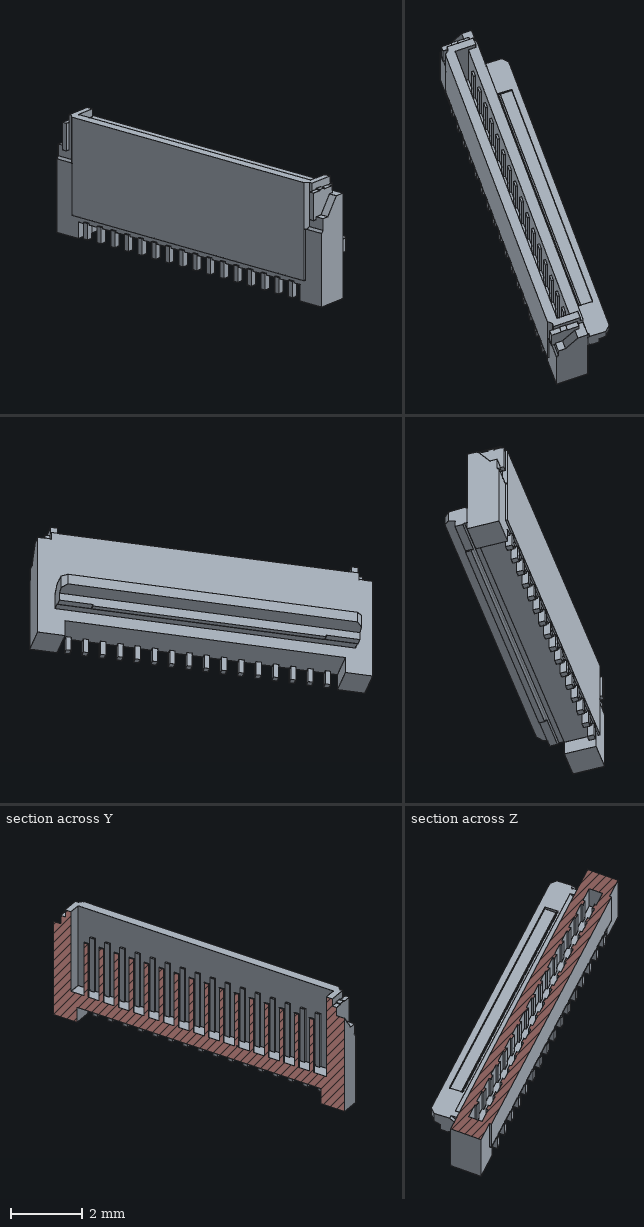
import cadquery as cq

LENGTH = 9.7
HEIGHT = 3.6
DEPTH = 1.87
HALF = LENGTH / 2

BODY_FRONT = 0.06
BODY_BACK = 1.0
SHELL_HALF = HALF - 0.4
PANEL_HALF = HALF - 0.6
PANEL_BOTTOM = 0.67
SHOULDER_FRONT = 0.12
SHELL_CORNER = 0.11
SHELL_BACK = 0.91
BACK_WALL_TOP = 3.37

LEDGE_LOW = 2.2
LEDGE_HIGH = 2.28
ARM_STEP = 2.63
ARM_TOP = 3.15
ARM_SLOPE_FRONT = 0.33
ARM_SLOPE_BACK = 0.7

FOOT_WIDTH = 0.8
UNDERSIDE = 0.49

SLOT_FRONT = 0.29
SLOT_BACK = 0.69
SLOT_FLOOR = 0.97
CONTACT_THICKNESS = 0.06
CONTACT_TOP = 2.72

PIN_COUNT = 16
PIN_PITCH = 0.5
PIN_WIDTH = 0.16
PIN_DEPTH = 0.19
PIN_BOTTOM = 0.06
PIN_TOP = 0.55

TAB_THICKNESS = 0.15
TAB_BACK = 0.82
TAB_BOTTOM = 2.54
TAB_TOP = BACK_WALL_TOP
TAB_BUMP_FRONT = 0.29
TAB_BUMP_BACK = 0.48
TAB_BUMP_HEIGHT = 0.03

LEVER_HALF = HALF - 0.5
LEVER_ROOT_TOP = 1.55
LEVER_TIP_TOP = 1.48
LEVER_TIP_BOTTOM = 1.16
LEVER_HEEL_BACK = 1.52
LEVER_HEEL_TOP = 1.05
LEVER_HEEL_BOTTOM = 0.81
LEVER_HEEL_FRONT = 1.29
LEVER_ROOT_BOTTOM = 0.85
LEVER_ROOT_BOTTOM_BACK = 1.24
LEVER_CORNER = 0.16
BEVEL_SLOPE = 0.8
END_BEVEL_WIDTH = 0.1
END_BEVEL_BACK = 1.26
MIDDLE_BEVEL_HALF = HALF - FOOT_WIDTH
MIDDLE_BEVEL_BACK = 1.21
LIP_BOTTOM = 0.77
LIP_FRONT = 1.36
RECESS_HALF = HALF - 1.47
LIP_HALF = RECESS_HALF
RECESS_FRONT = 1.26
RECESS_STEP = 1.32
RECESS_BACK = 1.67
RECESS_FLOOR = 1.42
RECESS_STEP_FLOOR = 1.455

OVERLAP = 0.05


def block(x0, x1, y0, y1, z0, z1):
    """Box given by its limits along each axis."""
    return cq.Workplane("XY").box(x1 - x0, y1 - y0, z1 - z0, centered=False).translate((x0, y0, z0))


def across(half_width, y0, y1, z0, z1):
    """Box centred along the length."""
    return block(-half_width, half_width, y0, y1, z0, z1)


def side_profile(points, x0, x1):
    """Extrude a (y, z) outline from x0 to x1."""
    return cq.Workplane("YZ").polyline(points).close().extrude(x1 - x0).translate((x0, 0, 0))


def both_ends(piece):
    """Piece together with its mirror image at the other end."""
    return piece.union(piece.mirror("YZ"))


def pin_centres():
    first = -PIN_PITCH * (PIN_COUNT - 1) / 2
    return [first + i * PIN_PITCH for i in range(PIN_COUNT)]


def make_arms():
    outline = [
        (BODY_BACK, 0),
        (BODY_FRONT, 0),
        (BODY_FRONT, LEDGE_LOW),
        (SHOULDER_FRONT, LEDGE_HIGH),
        (SHOULDER_FRONT, ARM_STEP),
        (ARM_SLOPE_FRONT, ARM_STEP),
        (ARM_SLOPE_BACK, ARM_TOP),
        (BODY_BACK, ARM_TOP),
    ]
    return side_profile(outline, -HALF, HALF)


def make_shell():
    bevel_end = PANEL_HALF + SHELL_CORNER
    plan = [
        (-SHELL_HALF, SHELL_BACK),
        (-SHELL_HALF, SHOULDER_FRONT),
        (-bevel_end, SHOULDER_FRONT),
        (-PANEL_HALF, 0),
        (PANEL_HALF, 0),
        (bevel_end, SHOULDER_FRONT),
        (SHELL_HALF, SHOULDER_FRONT),
        (SHELL_HALF, SHELL_BACK),
    ]
    upper = cq.Workplane("XY").workplane(offset=LEDGE_LOW).polyline(plan).close().extrude(HEIGHT - LEDGE_LOW)
    panel = across(PANEL_HALF, 0, SHELL_BACK, PANEL_BOTTOM, HEIGHT)
    back_wall = across(SHELL_HALF, SLOT_BACK, BODY_BACK, UNDERSIDE, BACK_WALL_TOP)
    return upper.union(panel).union(back_wall)


def make_housing():
    housing = make_arms().union(make_shell())
    foot_gap = across(HALF - FOOT_WIDTH, 0, BODY_BACK, 0, UNDERSIDE)
    slot = across(PANEL_HALF, SLOT_FRONT, SLOT_BACK, SLOT_FLOOR, HEIGHT)
    back_wall_relief = across(PANEL_HALF, SLOT_BACK - OVERLAP, BODY_BACK, BACK_WALL_TOP, HEIGHT)
    return housing.cut(foot_gap).cut(slot).cut(back_wall_relief)


def make_terminal(x):
    """One solder pin and the two contact strips standing in the slot."""
    x0 = x - PIN_WIDTH / 2
    x1 = x + PIN_WIDTH / 2
    pin = block(x0, x1, 0, PIN_DEPTH, PIN_BOTTOM, PIN_TOP)
    front = block(x0, x1, SLOT_FRONT - OVERLAP, SLOT_FRONT + CONTACT_THICKNESS, SLOT_FLOOR, CONTACT_TOP)
    back = block(x0, x1, SLOT_BACK - CONTACT_THICKNESS, SLOT_BACK + OVERLAP, SLOT_FLOOR, CONTACT_TOP)
    return pin.union(front).union(back)


def make_tab():
    outer = -SHELL_HALF - TAB_THICKNESS
    inner = -SHELL_HALF + OVERLAP
    plate = block(outer, -SHELL_HALF, 0, TAB_BACK, TAB_BOTTOM, TAB_TOP)
    root = block(outer, inner, SHOULDER_FRONT, TAB_BACK, TAB_BOTTOM, TAB_TOP)
    bump = block(outer, -SHELL_HALF, TAB_BUMP_FRONT, TAB_BUMP_BACK, TAB_BOTTOM, TAB_TOP + TAB_BUMP_HEIGHT)
    return plate.union(root).union(bump)


def make_lever_blank():
    root = BODY_BACK - OVERLAP
    outline = [
        (root, LEVER_ROOT_TOP),
        (DEPTH, LEVER_TIP_TOP),
        (DEPTH, LEVER_TIP_BOTTOM),
        (LEVER_HEEL_BACK, LEVER_HEEL_TOP),
        (LEVER_HEEL_BACK, LEVER_HEEL_BOTTOM),
        (LEVER_HEEL_FRONT, LEVER_HEEL_BOTTOM),
        (LEVER_ROOT_BOTTOM_BACK, LEVER_ROOT_BOTTOM),
        (root, LEVER_ROOT_BOTTOM),
    ]
    blank = side_profile(outline, -LEVER_HALF, LEVER_HALF)
    lip_outline = [
        (LEVER_HEEL_BACK, LEVER_HEEL_BOTTOM + OVERLAP),
        (LEVER_HEEL_BACK, LIP_BOTTOM),
        (LIP_FRONT, LIP_BOTTOM),
        (LEVER_HEEL_FRONT, LEVER_HEEL_BOTTOM),
        (LEVER_HEEL_FRONT, LEVER_HEEL_BOTTOM + OVERLAP),
    ]
    return blank.edges("|Z and >Y").chamfer(LEVER_CORNER).union(side_profile(lip_outline, -LIP_HALF, LIP_HALF))


def make_bevel(back, x0, x1):
    """Cutter for a bevel that falls from the lever top at back down to the housing."""
    drop = (back - BODY_BACK) * BEVEL_SLOPE
    outline = [
        (BODY_BACK, LEVER_ROOT_TOP - drop),
        (back, LEVER_ROOT_TOP),
        (BODY_BACK, LEVER_ROOT_TOP),
    ]
    return side_profile(outline, x0, x1)


def make_lever():
    end_bevel = make_bevel(END_BEVEL_BACK, -LEVER_HALF, -LEVER_HALF + END_BEVEL_WIDTH)
    middle_bevel = make_bevel(MIDDLE_BEVEL_BACK, -MIDDLE_BEVEL_HALF, MIDDLE_BEVEL_HALF)
    recess = across(RECESS_HALF, RECESS_STEP, RECESS_BACK, RECESS_FLOOR, LEVER_ROOT_TOP)
    recess_step = across(RECESS_HALF, RECESS_FRONT, RECESS_STEP, RECESS_STEP_FLOOR, LEVER_ROOT_TOP)
    lever = make_lever_blank().cut(both_ends(end_bevel)).cut(middle_bevel)
    return lever.cut(recess).cut(recess_step)


result = make_housing()
for centre in pin_centres():
    result = result.union(make_terminal(centre))
result = result.union(both_ends(make_tab())).union(make_lever())